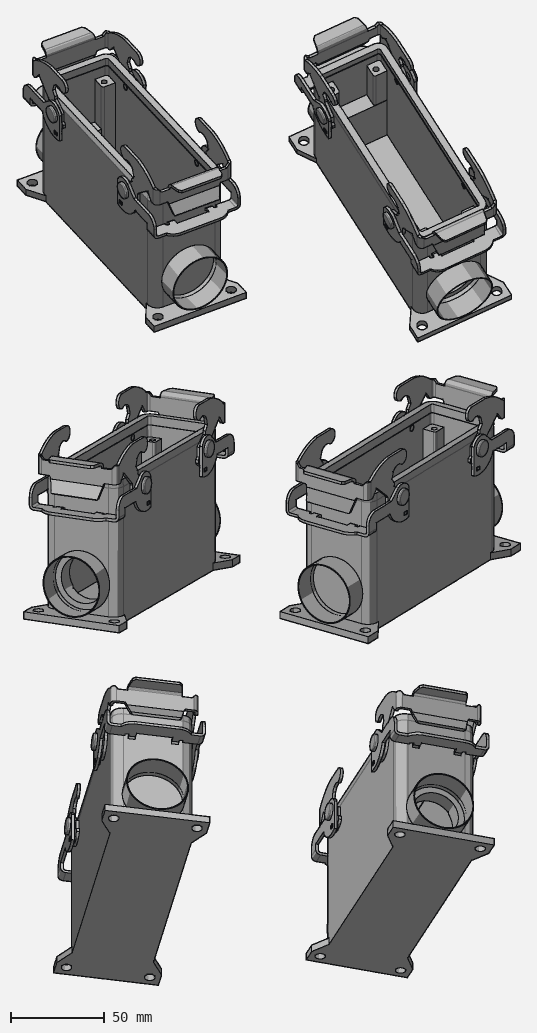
import cadquery as cq
import math


body_length = 120.7
body_width = 44.2
body_half_x = body_length / 2
body_half_y = body_width / 2
body_corner = 6.0
body_height = 80.1
lip_height = 4.1
lip_draft = 4
rim_half_x = 56.1
rim_half_y = 18.0
rim_corner = 1.3
rim_depth = 5.1
undercut = 0.3

flange_half_x = 72.2
flange_half_y = 28.5
flange_thick = 4.1
flange_full_x = 63.0
flange_root_x = 52.9
flange_hole_x = 66.1
flange_hole_y = 22.6
flange_hole_d = 5.6

entry_z = 21.9
entry_r = 16.9
entry_wall = 0.51
entry_bore_r = entry_r - entry_wall
entry_bore_end_x = 58.2
entry_passage_d = 26.0
step_top_z = 39.0
step_x_open = 49.2
step_x_closed = 48.2

post_x = 48.4
post_y = 10.3
post_corner = 1.3
post_top_z = 68.2
post_hole_x = 52.0
post_hole_y = 13.5
post_hole_d = 3.1
post_hole_depth = 11.8
post_overlap = 1.5

sheet = 1.6
bend = 2.8

hook_width = 47.8
hook_half_y = hook_width / 2
hook_end_x = 65.7
hook_top_z = 98.0
hook_tip_x = 33.2
hook_tip_r = 4.3
hook_crest_x = 45.7
hook_neck_x = 40.5
hook_back_x = 46.7
hook_low_z = 62.6
hook_relief_x = 57.3
hook_relief_z = 84.7
hook_shoulder_z = 90.4
hook_bottom_z = 80.0
saddle_z = 88.2
grip_end_x = 73.5
grip_top_z = 91.4
grip_root_half_y = 15.1
grip_shoulder_x = 72.0
grip_shoulder_half_y = 13.5
grip_edge_half_y = 12.0
tongue_bend_z = 78.2
tongue_end_x = 68.8
tongue_end_z = 70.5
tongue_root_half_y = 16.5
tongue_edge_half_y = 12.3

bail_half_y = 26.7
bail_inner_x = 61.6
bail_arm_x = 69.0
bail_end_x = 72.6
bail_bottom_z = 60.4
bail_top_z = 73.8
bail_lower_z = 66.7
bail_knee_r = 6.5
bail_plate_x = 30.7
bail_plate_r = 7.3
bail_plate_low_z = 57.3
bail_recess_x = 64.7
bail_recess_half_y = 9.8
bail_tab_width = 3.8
bail_notch_x = 63.2
bail_notch_width = 2.0
bail_notch_round = 0.6
tab_overlap = 0.1
stop_x = 34.2
stop_z = 62.0
stop_length = 2.8
stop_height = 1.8
stop_stand_out = 0.5

pivot_x = 37.5
pivot_z = 72.9
pivot_r = 2.5
rivet_root_y = 20.6
pivot_tail_r = 1.8
head_r = 4.7
head_round = 0.6


def block(x0, x1, y0, y1, z0, z1):
    """Box between the given limits."""
    return cq.Workplane("XY").box(x1 - x0, y1 - y0, z1 - z0, centered=False).translate((x0, y0, z0))


def rounded_block(half_x, half_y, corner, z0, z1):
    """Upright block centred on the Z axis with rounded vertical edges."""
    return block(-half_x, half_x, -half_y, half_y, z0, z1).edges("|Z").fillet(corner)


def both_sides(part, plane):
    """Part joined to its mirror image."""
    return part.union(part.mirror(plane))


def four_corners(part):
    return both_sides(both_sides(part, "XZ"), "YZ")


def rod_x(radius, x0, x1):
    """Cylinder along X on the cable entry axis."""
    return cq.Workplane("YZ", origin=(x0, 0, 0)).center(0, entry_z).circle(radius).extrude(x1 - x0)


def rod_y(radius, y0, y1):
    """Cylinder on the pivot axis, running outwards on the -Y side."""
    return cq.Workplane("XZ", origin=(0, -y0, 0)).center(pivot_x, pivot_z).circle(radius).extrude(y1 - y0)


def make_flange():
    """One mounting flange with its two screw holes."""
    half = (
        cq.Workplane("XY")
        .moveTo(flange_root_x, 0)
        .lineTo(flange_root_x, body_half_y)
        .lineTo(flange_full_x, flange_half_y)
        .lineTo(flange_half_x, flange_half_y)
        .lineTo(flange_half_x, 0)
        .close()
        .extrude(flange_thick)
    )
    holes = [(flange_hole_x, flange_hole_y), (flange_hole_x, -flange_hole_y)]
    drill = cq.Workplane("XY").pushPoints(holes).circle(flange_hole_d / 2).extrude(flange_thick)
    return both_sides(half, "XZ").cut(drill)


def make_post():
    """Screw post in the (+X, +Y) cavity corner, overlapping the walls."""
    wall_x = rim_half_x + post_overlap
    wall_y = rim_half_y + post_overlap
    post = block(post_x, wall_x, post_y, wall_y, flange_thick, post_top_z)
    post = post.edges("|Z and <X and <Y").fillet(post_corner)
    hole = (
        cq.Workplane("XY", origin=(post_hole_x, post_hole_y, post_top_z))
        .circle(post_hole_d / 2)
        .extrude(-post_hole_depth)
    )
    return post.cut(hole)


def make_housing():
    lip_z = body_height - lip_height
    shell = rounded_block(body_half_x, body_half_y, body_corner, 0, lip_z)
    lip = shell.faces(">Z").wires().toPending().workplane().extrude(
        lip_height, taper=lip_draft, combine=False
    )
    shell = shell.union(lip)

    undercut_z = body_height - rim_depth
    cavity = rounded_block(
        rim_half_x + undercut, rim_half_y + undercut, rim_corner + undercut, flange_thick, undercut_z
    )
    cavity = cavity.cut(block(-body_half_x, -step_x_open, -body_half_y, body_half_y, 0, step_top_z))
    cavity = cavity.cut(block(step_x_closed, body_half_x, -body_half_y, body_half_y, 0, step_top_z))
    opening = rounded_block(rim_half_x, rim_half_y, rim_corner, undercut_z, body_height)
    shell = shell.cut(cavity).cut(opening)

    outside = make_flange().union(rod_x(entry_r, rim_half_x + undercut, flange_half_x))
    bore = rod_x(entry_bore_r, entry_bore_end_x, flange_half_x)
    shell = shell.union(both_sides(outside, "YZ")).union(four_corners(make_post()))
    shell = shell.cut(bore).cut(bore.mirror("YZ"))
    return shell.cut(rod_x(entry_passage_d / 2, -flange_half_x, -post_x))


def make_hook_arms():
    """Side profile of the two hook arms, through the full width."""
    tip_z = hook_top_z - hook_tip_r
    return (
        cq.Workplane("XZ")
        .moveTo(hook_end_x - bend, hook_shoulder_z)
        .threePointArc((54.7, 95.5), (hook_crest_x, hook_top_z))
        .lineTo(hook_tip_x, hook_top_z)
        .threePointArc((hook_tip_x - hook_tip_r, tip_z), (hook_tip_x + 0.5, tip_z - hook_tip_r))
        .threePointArc((pivot_x, 90.7), (41.5, 88.3))
        .lineTo(42.8, 84.2)
        .lineTo(hook_neck_x, 81.4)
        .lineTo(hook_neck_x, 79.4)
        .lineTo(33.2, 74.2)
        .lineTo(33.2, 68.8)
        .lineTo(31.7, 67.6)
        .lineTo(31.7, 65.7)
        .threePointArc((38.5, hook_low_z), (hook_back_x, 70.8))
        .lineTo(hook_back_x, 75.0)
        .lineTo(hook_back_x + 0.3, 75.8)
        .lineTo(hook_relief_x, hook_relief_z)
        .lineTo(60.4, 80.8)
        .threePointArc((60.8, 80.2), (61.7, hook_bottom_z))
        .lineTo(hook_end_x - bend, hook_bottom_z)
        .close()
        .extrude(hook_half_y, both=True)
    )


def make_hook_end():
    """Outline of the end wall seen along X, from the bends outwards."""
    half = (
        cq.Workplane("YZ", origin=(hook_end_x - bend, 0, 0))
        .moveTo(0, hook_bottom_z)
        .lineTo(hook_half_y, hook_bottom_z)
        .lineTo(hook_half_y, hook_shoulder_z)
        .lineTo(22.0, hook_shoulder_z)
        .lineTo(20.1, saddle_z)
        .lineTo(0, saddle_z)
        .close()
        .extrude(bend)
    )
    return both_sides(half, "XZ")


def make_grip():
    """Thumb grip: the end wall bent outwards, narrowing towards its edge."""
    inner = bend - sheet
    face_x = hook_end_x - sheet
    bend_x = hook_end_x + inner
    bend_z = grip_top_z - bend
    diagonal = math.sqrt(0.5)
    strip = (
        cq.Workplane("XZ")
        .moveTo(face_x, saddle_z)
        .lineTo(face_x, bend_z)
        .threePointArc((bend_x - bend * diagonal, bend_z + bend * diagonal), (bend_x, grip_top_z))
        .lineTo(grip_end_x, grip_top_z)
        .lineTo(grip_end_x, grip_top_z - sheet)
        .lineTo(bend_x, grip_top_z - sheet)
        .threePointArc((bend_x - inner * diagonal, bend_z + inner * diagonal), (hook_end_x, bend_z))
        .lineTo(hook_end_x, saddle_z)
        .close()
        .extrude(hook_half_y, both=True)
    )
    half_plan = (
        cq.Workplane("XY", origin=(0, 0, hook_bottom_z))
        .moveTo(face_x, 0)
        .lineTo(face_x, grip_root_half_y)
        .lineTo(grip_shoulder_x, grip_shoulder_half_y)
        .lineTo(grip_end_x, grip_edge_half_y)
        .lineTo(grip_end_x, 0)
        .close()
        .extrude(hook_top_z - hook_bottom_z)
    )
    return strip.intersect(both_sides(half_plan, "XZ"))


def make_tongue():
    """Tongue below the end wall, sloping outwards and narrowing downwards."""
    face_x = hook_end_x - sheet
    strip = (
        cq.Workplane("XZ")
        .moveTo(face_x, hook_bottom_z)
        .lineTo(hook_end_x, hook_bottom_z)
        .lineTo(hook_end_x, tongue_bend_z)
        .lineTo(tongue_end_x, tongue_end_z + 0.7)
        .lineTo(tongue_end_x - 1.3, tongue_end_z)
        .lineTo(face_x, tongue_bend_z - 0.3)
        .close()
        .extrude(hook_half_y, both=True)
    )
    half_outline = (
        cq.Workplane("YZ", origin=(face_x, 0, 0))
        .moveTo(0, hook_bottom_z)
        .lineTo(tongue_root_half_y, hook_bottom_z)
        .threePointArc((15.9, 79.2), (15.6, tongue_bend_z))
        .lineTo(14.1, 72.6)
        .threePointArc((13.5, 71.1), (tongue_edge_half_y, tongue_end_z))
        .lineTo(0, tongue_end_z)
        .close()
        .extrude(grip_end_x - face_x)
    )
    return strip.intersect(both_sides(half_outline, "XZ"))


def make_hook_lever():
    """U-shaped sheet lever: two hook arms joined by an end wall."""
    outer = block(0, hook_end_x, -hook_half_y, hook_half_y, hook_low_z, hook_top_z)
    outer = outer.edges("|Z and >X").fillet(bend)
    inner_y = hook_half_y - sheet
    inner = block(0, hook_end_x - sheet, -inner_y, inner_y, hook_low_z, hook_top_z)
    inner = inner.edges("|Z and >X").fillet(bend - sheet)
    sheet_u = outer.cut(inner)
    outline = make_hook_arms().union(make_hook_end())
    return sheet_u.intersect(outline).union(make_grip()).union(make_tongue())


def make_bail_arms():
    """Side profile of the bail arms and their rounded plates, through the full width."""
    knee = bail_arm_x - bail_knee_r
    knee_z = bail_top_z - bail_knee_r
    diagonal = bail_knee_r * math.sqrt(0.5)
    return (
        cq.Workplane("XZ")
        .moveTo(bail_inner_x, bail_bottom_z)
        .lineTo(bail_arm_x, bail_bottom_z)
        .lineTo(bail_arm_x, knee_z)
        .threePointArc((knee + diagonal, knee_z + diagonal), (knee, bail_top_z))
        .lineTo(47.5, bail_top_z)
        .lineTo(41.2, pivot_z + 6.3)
        .threePointArc((pivot_x, pivot_z + bail_plate_r), (bail_plate_x, pivot_z + 3.0))
        .lineTo(bail_plate_x, 58.8)
        .threePointArc((41.9, 59.5), (48.8, bail_lower_z))
        .lineTo(bail_inner_x, bail_lower_z)
        .close()
        .extrude(bail_half_y, both=True)
    )


def make_bail_crosspiece():
    """Half of the flat bar joining the two arms, with a notch and a bent tab."""
    flat_y = bail_half_y - bend
    half = (
        cq.Workplane("XY", origin=(0, 0, bail_bottom_z))
        .moveTo(bail_recess_x, 0)
        .lineTo(bail_recess_x, bail_recess_half_y)
        .lineTo(bail_inner_x, bail_recess_half_y)
        .lineTo(bail_inner_x, flat_y)
        .lineTo(bail_arm_x, flat_y)
        .lineTo(bail_arm_x, 19.1)
        .threePointArc((71.0, 17.0), (bail_end_x, 12.5))
        .lineTo(bail_end_x, 0)
        .close()
        .extrude(sheet)
    )
    notch_y = bail_recess_half_y + bail_tab_width
    top_z = bail_bottom_z + sheet
    notch = block(bail_inner_x, bail_notch_x, notch_y, notch_y + bail_notch_width, bail_bottom_z, top_z)
    notch = notch.edges("|Z and >X").fillet(bail_notch_round)
    tab_tip_x = body_half_x - tab_overlap
    tab = (
        cq.Workplane("XZ", origin=(0, bail_recess_half_y, 0))
        .moveTo(bail_inner_x, bail_bottom_z)
        .lineTo(bail_inner_x, top_z)
        .lineTo(tab_tip_x, bail_bottom_z + 0.7)
        .lineTo(tab_tip_x, bail_bottom_z - 0.9)
        .close()
        .extrude(-bail_tab_width)
    )
    return half.cut(notch).union(tab)


def make_bail():
    """U-shaped sheet bail: outside arms joined by the flat crosspiece."""
    outer = block(0, bail_end_x, -bail_half_y, bail_half_y, bail_bottom_z, hook_top_z)
    outer = outer.edges("|X and <Z").fillet(bend)
    inner_y = bail_half_y - sheet
    inner = block(0, bail_end_x, -inner_y, inner_y, bail_bottom_z + sheet, hook_top_z)
    inner = inner.edges("|X and <Z").fillet(bend - sheet)
    channel = outer.cut(inner)
    flat_y = bail_half_y - bend
    arm_side = block(0, bail_inner_x, inner_y, bail_half_y, bail_plate_low_z, hook_top_z)
    legs = channel.cut(block(0, bail_inner_x, -bail_half_y, bail_half_y, bail_plate_low_z, hook_top_z))
    legs = legs.cut(block(0, bail_end_x, -flat_y, flat_y, bail_plate_low_z, hook_top_z))
    arms = legs.union(both_sides(arm_side, "XZ")).intersect(make_bail_arms())
    return arms.union(both_sides(make_bail_crosspiece(), "XZ"))


def make_rivet():
    """Pivot rivet and stop block on the -Y side."""
    head = rod_y(head_r, bail_half_y, flange_half_y).faces("<Y").edges().fillet(head_round)
    shank = rod_y(pivot_r, rivet_root_y, bail_half_y)
    tail = rod_y(pivot_tail_r, rim_half_y, body_half_y)
    stop = block(
        stop_x - stop_length / 2,
        stop_x + stop_length / 2,
        -bail_half_y - stop_stand_out,
        -hook_half_y,
        stop_z - stop_height / 2,
        stop_z + stop_height / 2,
    )
    return head.union(shank).union(tail).union(stop)


fittings = make_hook_lever().union(make_bail()).union(both_sides(make_rivet(), "XZ"))
result = make_housing().union(both_sides(fittings, "YZ"))